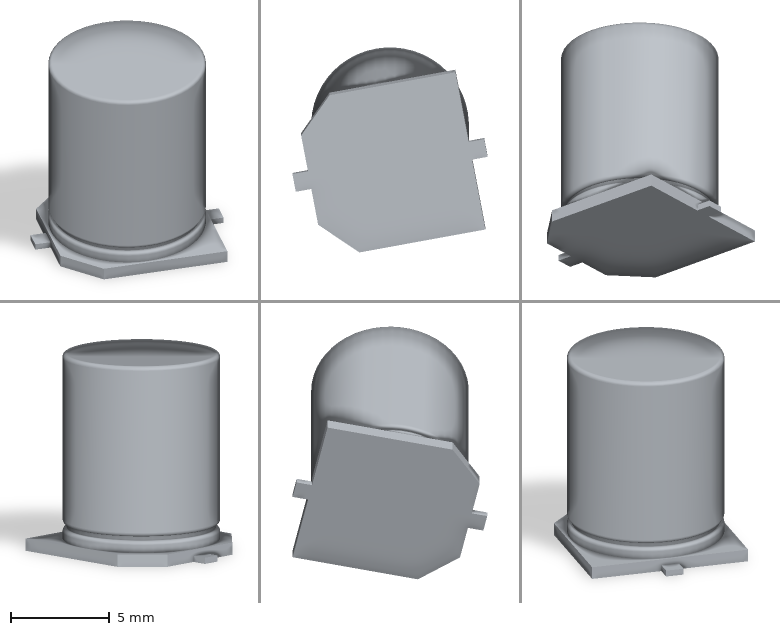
import cadquery as cq

total_height = 10.21
base_side = 8.3
lead_span = 9.9

base_thickness = 0.63
corner_cut = 1.8

lead_width = 0.93
lead_thickness = 0.32

can_radius = 4.0
edge_radius = 0.2
neck_radius = can_radius - edge_radius
groove_bottom = 1.23
groove_top = 1.43


def make_base():
    """Square plate with the two -Y corners cut off."""
    plate = cq.Workplane("XY").box(base_side, base_side, base_thickness, centered=(True, True, False))
    return plate.edges("|Z and <Y").chamfer(corner_cut)


def make_leads():
    """One strip under the base, showing at both ends."""
    return cq.Workplane("XY").box(lead_width, lead_span, lead_thickness, centered=(True, True, False))


def make_cylinder(radius, bottom, top):
    return cq.Workplane("XY").workplane(offset=bottom).circle(radius).extrude(top - bottom)


def make_can():
    """Rounded foot ring, narrow neck and rounded main body, stacked."""
    foot = make_cylinder(can_radius, base_thickness, groove_bottom).faces(">Z").edges().fillet(edge_radius)
    neck = make_cylinder(neck_radius, base_thickness, total_height - edge_radius)
    body = make_cylinder(can_radius, groove_top, total_height).faces("<Z or >Z").edges().fillet(edge_radius)
    return foot.union(neck).union(body)


result = make_base().union(make_leads()).union(make_can())